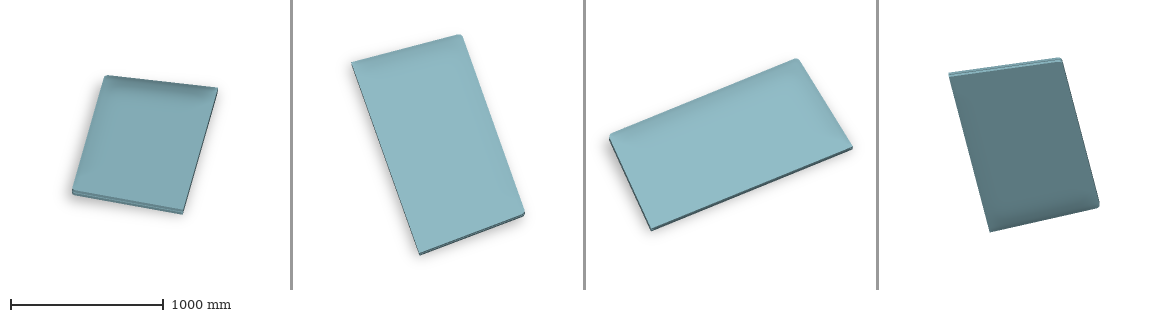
import cadquery as cq
import math

width = 748.0
low_side = 1466.0
high_side = 1379.0
thickness = 40.0
corner_radius = 30.0

slope_angle = 4.0
turn_angle = 6.7

groove_depth = 21.0
groove_width = 5.0

half_low = low_side / 2
half_high = high_side / 2
end_length = math.hypot(width, half_low - half_high)
end_angle = math.degrees(math.atan2(half_low - half_high, width))


def make_panel():
    """Flat trapezoid centred on the origin, with its high side at -X."""
    corners = [
        (-width / 2, -half_high),
        (width / 2, -half_low),
        (width / 2, half_low),
        (-width / 2, half_high),
    ]
    panel = cq.Workplane("XY").polyline(corners).close().extrude(thickness / 2, both=True)
    return panel.edges("|Z and <X").fillet(corner_radius)


def make_groove_cutter(side):
    """Bar centred on one slanted end; side is +1 for the +Y end and -1 for the -Y end."""
    bar = cq.Workplane("XY").box(2 * end_length, 2 * groove_depth, groove_width)
    bar = bar.rotate((0, 0, 0), (0, 0, 1), side * end_angle)
    return bar.translate((0, side * (half_low + half_high) / 2, 0))


panel = make_panel()
for side in (-1, 1):
    panel = panel.cut(make_groove_cutter(side))

tilted = panel.rotate((0, 0, 0), (0, 1, 0), slope_angle)
result = tilted.rotate((0, 0, 0), (0, 0, 1), turn_angle)